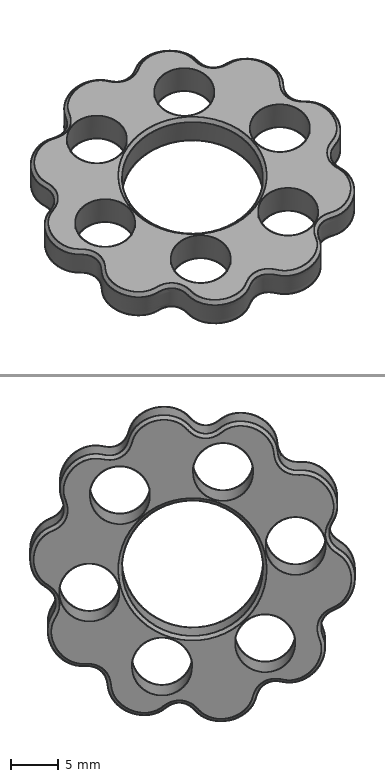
import math

import cadquery as cq


thickness = 4.0
edge_chamfer = 0.4

lobe_count = 10
ring_pin_count = lobe_count + 1
ring_pin_circle_radius = 17.91
ring_pin_radius = 1.75
eccentricity = 1.175
points_per_lobe = 24

bore_radius = 7.5

drive_hole_count = 6
drive_hole_radius = 3.2
drive_hole_circle_radius = 11.27


def rim_point(angle):
    """Point on the lobed rim: the epitrochoid moved inward by the ring pin radius."""
    fast_angle = ring_pin_count * angle
    x = ring_pin_circle_radius * math.cos(angle) - eccentricity * math.cos(fast_angle)
    y = ring_pin_circle_radius * math.sin(angle) - eccentricity * math.sin(fast_angle)
    fast_radius = ring_pin_count * eccentricity
    tangent_x = fast_radius * math.sin(fast_angle) - ring_pin_circle_radius * math.sin(angle)
    tangent_y = ring_pin_circle_radius * math.cos(angle) - fast_radius * math.cos(fast_angle)
    offset_ratio = ring_pin_radius / math.hypot(tangent_x, tangent_y)
    return (x - offset_ratio * tangent_y, y + offset_ratio * tangent_x)


def make_lobed_disc():
    """Solid disc with the lobed rim; the curve starts and ends in the valley on -X."""
    point_count = lobe_count * points_per_lobe
    angle_step = 2 * math.pi / point_count
    points = [rim_point(math.pi + i * angle_step) for i in range(point_count)]
    return cq.Workplane("XY").spline(points, periodic=True).close().extrude(thickness)


def cut_bore(disc):
    """Cut the central through bore."""
    return disc.faces(">Z").workplane(origin=(0, 0, thickness)).circle(bore_radius).cutThruAll()


def chamfer_edges(disc):
    """Chamfer the rim and the bore on both flat faces."""
    return disc.faces("|Z").edges().chamfer(edge_chamfer)


def cut_drive_holes(disc):
    """Cut the ring of plain through holes around the bore."""
    return (
        disc.faces(">Z")
        .workplane(origin=(0, 0, thickness))
        .polarArray(drive_hole_circle_radius, 0, 360, drive_hole_count)
        .circle(drive_hole_radius)
        .cutThruAll()
    )


disc = make_lobed_disc()
disc = cut_bore(disc)
disc = chamfer_edges(disc)
result = cut_drive_holes(disc)